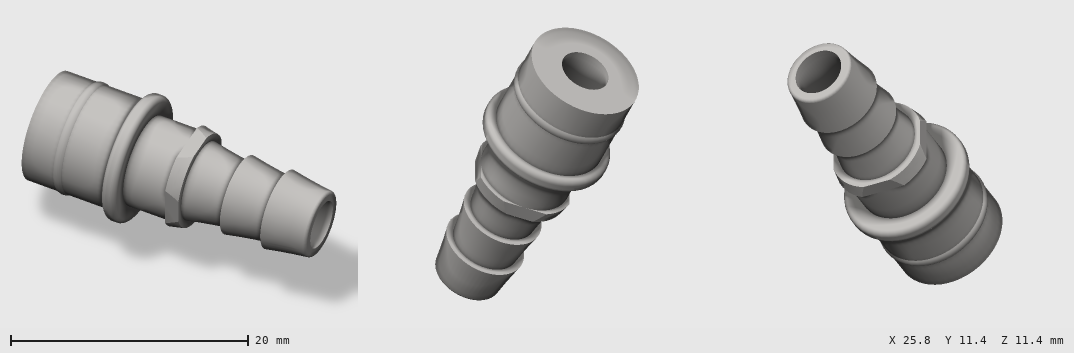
import cadquery as cq
import math


BORE_RADIUS = 4.25 / 2

PLUG_RADIUS = 4.9
BEAD_RADIUS = 5.04
BEAD_START = 2.95
BEAD_END = 3.78

FLANGE_RADIUS = 11.4 / 2
FLANGE_START = 7.8
FLANGE_END = 9.13
FLANGE_EDGE_FILLET = 0.45

NECK_RADIUS = 8.1 / 2
COLLAR_START = 13.1
COLLAR_END = 14.35
FLAT_WIDTH_AT_START = 3.9
FLAT_WIDTH_AT_END = 2.4
COLLAR_START_RADIUS = math.hypot(NECK_RADIUS, FLAT_WIDTH_AT_START / 2)
COLLAR_END_RADIUS = math.hypot(NECK_RADIUS, FLAT_WIDTH_AT_END / 2)

BARB_CREST_RADIUS = 3.55
BARB_ROOT_RADIUS = 2.95
BARB_HOLLOW = 0.04
BARB_PITCH = 3.8
TOTAL_LENGTH = 25.8
TIP_FILLET = 0.25
SECOND_BARB_START = 18.0
LAST_BARB_START = SECOND_BARB_START + BARB_PITCH
BARB_SPANS = [
    (COLLAR_END, SECOND_BARB_START),
    (SECOND_BARB_START, LAST_BARB_START),
    (LAST_BARB_START, TOTAL_LENGTH),
]


def cylinder(start, end, radius):
    """Solid cylinder along X between two stations."""
    return cq.Workplane("YZ", origin=(start, 0, 0)).circle(radius).extrude(end - start)


def spin(profile):
    """Revolve a closed XY profile about the X axis."""
    return profile.close().revolve(360, (0, 0, 0), (1, 0, 0))


def make_bead():
    profile = (
        cq.Workplane("XY")
        .moveTo(BEAD_START, 0)
        .lineTo(BEAD_START, PLUG_RADIUS)
        .threePointArc(((BEAD_START + BEAD_END) / 2, BEAD_RADIUS), (BEAD_END, PLUG_RADIUS))
        .lineTo(BEAD_END, 0)
    )
    return spin(profile)


def make_flange():
    disc = cylinder(FLANGE_START, FLANGE_END, FLANGE_RADIUS)
    return disc.edges("%CIRCLE").fillet(FLANGE_EDGE_FILLET)


def make_collar():
    profile = (
        cq.Workplane("XY")
        .moveTo(COLLAR_START, 0)
        .lineTo(COLLAR_START, COLLAR_START_RADIUS)
        .lineTo(COLLAR_END, COLLAR_END_RADIUS)
        .lineTo(COLLAR_END, 0)
    )
    across_flats = 2 * NECK_RADIUS
    square_bar = (
        cq.Workplane("YZ", origin=(COLLAR_START, 0, 0))
        .rect(across_flats, across_flats)
        .extrude(COLLAR_END - COLLAR_START)
    )
    return spin(profile).intersect(square_bar)


def make_barb(start, end):
    middle_radius = (BARB_CREST_RADIUS + BARB_ROOT_RADIUS) / 2 - BARB_HOLLOW
    profile = (
        cq.Workplane("XY")
        .moveTo(start, 0)
        .lineTo(start, BARB_CREST_RADIUS)
        .threePointArc(((start + end) / 2, middle_radius), (end, BARB_ROOT_RADIUS))
        .lineTo(end, 0)
    )
    return spin(profile)


body = cylinder(0, FLANGE_START, PLUG_RADIUS)
body = body.union(make_bead())
body = body.union(make_flange())
body = body.union(cylinder(FLANGE_END, COLLAR_START, NECK_RADIUS))
body = body.union(make_collar())
for barb_start, barb_end in BARB_SPANS:
    body = body.union(make_barb(barb_start, barb_end))
body = body.faces(">X").edges().fillet(TIP_FILLET)

result = body.cut(cylinder(0, TOTAL_LENGTH, BORE_RADIUS))